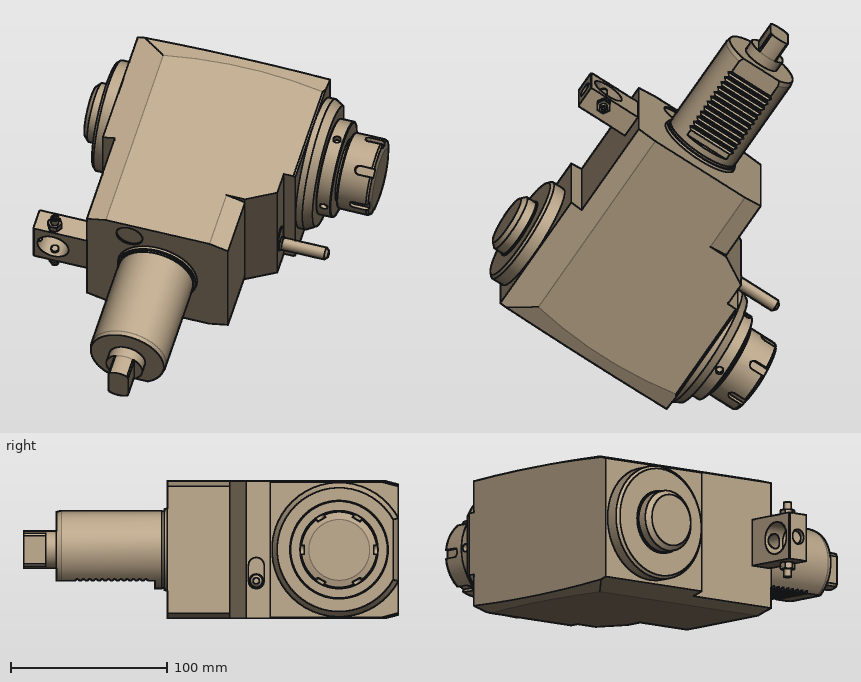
import cadquery as cq
import math

DRAFT = math.tan(math.radians(15))
STEEP_SLOPE = math.tan(math.radians(30))

HALF_HEIGHT = 44.0
BACK_Y = 148.0
SHOULDER_Y = 66.0
HEAD_LEFT_X = -55.0
HEAD_RIGHT_X = 73.1
FOOT_HALF_WIDTH = 47.0
FOOT_TOP_Y = 40.0
WAIST_X = 65.5
WAIST_Y = FOOT_TOP_Y + (WAIST_X - FOOT_HALF_WIDTH) * STEEP_SLOPE
BEVEL_START_X = 34.5
SWING_CENTER_X = 19.0
SWING_RADIUS = 290.0
SWING_APEX_Y = 140.0
SWING_REACH = 30.0
RIM_LENGTH = 1.3
RIM_DROP = RIM_LENGTH * STEEP_SLOPE
PLUG_X, PLUG_Z = -18.6, 32.3
PLUG_DIAMETER = 17.4
PLUG_DEPTH = 1.0

SPINDLE_Y = 110.0
COVER_RADIUS = 36.5
COVER_X = -65.0
COVER_CHAMFER = 1.8
CAP_BASE_RADIUS = 20.2
CAP_BASE_X = -66.0
CAP_RADIUS = 19.5
CAP_X = -75.3
CAP_CHAMFER = 3.0
COLLAR_RADIUS = 43.0
COLLAR_X = 83.3
COLLAR_TAPER_LENGTH = 5.8
COLLAR_TAPER_DROP = COLLAR_TAPER_LENGTH * STEEP_SLOPE
RING_RADIUS = 31.5
RING_X = 93.0
RING_CHAMFER = 0.5
SPANNER_HOLE_X = 88.5
SPANNER_HOLE_DIAMETER = 5.0
SPANNER_HOLE_DEPTH = 4.0
SPANNER_HOLE_COUNT = 4
DRILL_POINT_SLOPE = math.tan(math.radians(31))
NECK_RADIUS = 20.5
NUT_RADIUS = 25.0
NUT_START_X = 95.0
NUT_SHOULDER_X = 116.0
NUT_FACE_X = 117.1
NUT_FACE_RADIUS = 19.5
NUT_REAR_CHAMFER = 0.8
NUT_EDGE_LENGTH = 1.4
NUT_EDGE_DROP = 0.8
NUT_SLOT_COUNT = 6
NUT_SLOT_WIDTH = 5.8
NUT_SLOT_DEPTH = 2.7
NUT_SLOT_X = 104.0

FLANGE_RADIUS = 26.5
FLANGE_TIP_RADIUS = 26.0
FLANGE_LENGTH = 1.8
RELIEF_RADIUS = 24.7
RELIEF_END = 3.4
SHANK_RADIUS = 25.0
SHANK_LENGTH = 71.0
SHANK_CHAMFER_LENGTH = 3.0
SHANK_CHAMFER_DROP = 0.7
FLAT_Z = -20.0
FLAT_START = 8.0
TOOTH_PITCH = 4.0
TOOTH_COUNT = 12
TOOTH_FIRST = 13.7
TOOTH_WIDTH = 3.2
TOOTH_DEPTH = 1.3
DRIVE_RADIUS = 12.0
DRIVE_LENGTH = 7.0
TANG_END = 92.0
TANG_HALF_WIDTH = 6.6
TANG_BEVEL_HALF_WIDTH = 5.7
TANG_BEVEL_Z = 8.9

BRACKET_X = -83.0
BRACKET_FRONT_Y, BRACKET_BACK_Y = 1.0, 16.0
BRACKET_HALF_HEIGHT = 15.0
BRACKET_CHAMFER = 0.6
BORE_X = -69.8
BORE_DIAMETER = 20.8
FEED_DIAMETER = 9.5
CHANNEL_DIAMETER = 2.2
CHANNEL_DEPTH = 5.0
SCREW_X, SCREW_Y = -70.0, 6.2
SCREW_DIAMETER = 5.0
SCREW_END_Z = 24.2
SCREW_TIP_Z = 9.0
HEX_CORNER_RATIO = 1 / math.cos(math.radians(30))
HEX_NUT_FLATS = 8.0
HEX_NUT_HEIGHT = 4.2
HEX_NUT_CHAMFER = 0.4
SOCKET_FLATS = 2.5
SOCKET_DEPTH = 2.5

PIN_Y, PIN_Z = 57.0, -20.0
PIN_RADIUS = 4.0
PIN_END_X = 97.8
PIN_CHAMFER = 2.0
PIN_COLLAR_RADIUS = 4.4
PIN_COLLAR_END_X = WAIST_X + 2.0
PAD_WIDTH = 10.0
PAD_LENGTH = 20.0
PAD_THICKNESS = 0.6
PAD_Z = PIN_Z + (PAD_LENGTH - PAD_WIDTH) / 2


def box_between(x0, x1, y0, y1, z0, z1):
    """Box from its lower and upper corner coordinates."""
    return cq.Workplane("XY").box(x1 - x0, y1 - y0, z1 - z0, centered=False).translate((x0, y0, z0))


def spindle_turning(profile):
    """Revolve (x, radius) points about the spindle axis."""
    points = [(x, SPINDLE_Y + radius) for x, radius in profile]
    return cq.Workplane("XY").polyline(points).close().revolve(360, (0, SPINDLE_Y), (1, SPINDLE_Y))


def shank_turning(profile):
    """Revolve (radius, distance below the housing) points about the shank axis."""
    points = [(radius, -distance) for radius, distance in profile]
    return cq.Workplane("XY").polyline(points).close().revolve(360, (0, 0), (0, 1))


def both_sides(cutter):
    """A cutter together with its mirror image below the XY plane."""
    return [cutter, cutter.mirror("XY")]


def edge_bevel_cutter(start_x, end_x, drop, y0, y1):
    """Wedge removed from the top edge between start_x and end_x."""
    return (
        cq.Workplane("XZ", origin=(0, y1, 0))
        .polyline([(start_x, HALF_HEIGHT), (end_x, HALF_HEIGHT), (end_x, HALF_HEIGHT - drop)])
        .close()
        .extrude(y1 - y0)
    )


def rear_bevel_cutter():
    """Solid outside a wide upright cone, which bevels the rear top edge."""
    center_y = SWING_APEX_Y - SWING_RADIUS
    cone_profile = [
        (SWING_RADIUS, HALF_HEIGHT),
        (SWING_RADIUS + SWING_REACH, HALF_HEIGHT),
        (SWING_RADIUS + SWING_REACH, HALF_HEIGHT - SWING_REACH * DRAFT),
    ]
    return (
        cq.Workplane("XZ")
        .polyline(cone_profile)
        .close()
        .revolve(360, (0, 0), (0, 1))
        .translate((SWING_CENTER_X, center_y, 0))
    )


def make_housing():
    """Bevelled housing with a shallow plug recess in its shank face."""
    outline = [
        (-FOOT_HALF_WIDTH, 0),
        (FOOT_HALF_WIDTH, 0),
        (FOOT_HALF_WIDTH, FOOT_TOP_Y),
        (WAIST_X, WAIST_Y),
        (WAIST_X, SHOULDER_Y),
        (HEAD_RIGHT_X, SHOULDER_Y),
        (HEAD_RIGHT_X, BACK_Y),
        (HEAD_LEFT_X, BACK_Y),
        (HEAD_LEFT_X, SHOULDER_Y),
        (-FOOT_HALF_WIDTH, SHOULDER_Y),
    ]
    housing = (
        cq.Workplane("XY", origin=(0, 0, -HALF_HEIGHT)).polyline(outline).close().extrude(2 * HALF_HEIGHT)
    )
    left_drop = (-BEVEL_START_X - HEAD_LEFT_X) * DRAFT
    foot_drop = (FOOT_HALF_WIDTH - BEVEL_START_X) * DRAFT
    cutters = [
        edge_bevel_cutter(-BEVEL_START_X, HEAD_LEFT_X, left_drop, 0, BACK_Y),
        edge_bevel_cutter(BEVEL_START_X, FOOT_HALF_WIDTH, foot_drop, 0, FOOT_TOP_Y),
        edge_bevel_cutter(HEAD_RIGHT_X - RIM_LENGTH, HEAD_RIGHT_X, RIM_DROP, SHOULDER_Y, BACK_Y),
        rear_bevel_cutter(),
    ]
    for cutter in cutters:
        for side in both_sides(cutter):
            housing = housing.cut(side)
    plug_recess = (
        cq.Workplane("XZ", origin=(PLUG_X, PLUG_DEPTH, PLUG_Z)).circle(PLUG_DIAMETER / 2).extrude(PLUG_DEPTH)
    )
    return housing.cut(plug_recess)


def make_rear_cover():
    """Round cover with a stepped, chamfered cap on the left of the head."""
    return spindle_turning([
        (HEAD_LEFT_X, 0),
        (HEAD_LEFT_X, COVER_RADIUS),
        (COVER_X + COVER_CHAMFER, COVER_RADIUS),
        (COVER_X, COVER_RADIUS - COVER_CHAMFER),
        (COVER_X, CAP_BASE_RADIUS),
        (CAP_BASE_X, CAP_BASE_RADIUS),
        (CAP_BASE_X, CAP_RADIUS),
        (CAP_X + CAP_CHAMFER, CAP_RADIUS),
        (CAP_X, CAP_RADIUS - CAP_CHAMFER),
        (CAP_X, 0),
    ])


def make_collar():
    """Round collar flush with the back of the housing and tapered at its outer end."""
    length = COLLAR_X - HEAD_RIGHT_X
    disc = cq.Workplane("YZ", origin=(HEAD_RIGHT_X, SPINDLE_Y, 0)).circle(COLLAR_RADIUS).extrude(length)
    beyond_back = box_between(
        HEAD_RIGHT_X, COLLAR_X, BACK_Y, BACK_Y + COLLAR_RADIUS, -COLLAR_RADIUS, COLLAR_RADIUS
    )
    end_edges = disc.cut(beyond_back).faces(">X").edges()
    return end_edges.chamfer(COLLAR_TAPER_LENGTH, COLLAR_TAPER_DROP)


def make_ring():
    """Spanner ring with radial drilled holes."""
    ring = spindle_turning([
        (COLLAR_X, 0),
        (COLLAR_X, RING_RADIUS - RING_CHAMFER),
        (COLLAR_X + RING_CHAMFER, RING_RADIUS),
        (RING_X - RING_CHAMFER, RING_RADIUS),
        (RING_X, RING_RADIUS - RING_CHAMFER),
        (RING_X, 0),
    ])
    hole_radius = SPANNER_HOLE_DIAMETER / 2
    floor_z = RING_RADIUS - SPANNER_HOLE_DEPTH
    point_z = floor_z - hole_radius * DRILL_POINT_SLOPE
    drill = (
        cq.Workplane("XZ")
        .polyline([(0, point_z), (hole_radius, floor_z), (hole_radius, RING_RADIUS), (0, RING_RADIUS)])
        .close()
        .revolve(360, (0, 0), (0, 1))
        .translate((SPANNER_HOLE_X, SPINDLE_Y, 0))
    )
    for index in range(SPANNER_HOLE_COUNT):
        angle = index * 360 / SPANNER_HOLE_COUNT
        ring = ring.cut(drill.rotate((0, SPINDLE_Y, 0), (1, SPINDLE_Y, 0), angle))
    return ring


def make_collet_nut():
    """Slotted collet nut on its short neck."""
    nut = spindle_turning([
        (RING_X, 0),
        (RING_X, NECK_RADIUS),
        (NUT_START_X, NECK_RADIUS),
        (NUT_START_X, NUT_RADIUS - NUT_REAR_CHAMFER),
        (NUT_START_X + NUT_REAR_CHAMFER, NUT_RADIUS),
        (NUT_SHOULDER_X - NUT_EDGE_LENGTH, NUT_RADIUS),
        (NUT_SHOULDER_X, NUT_RADIUS - NUT_EDGE_DROP),
        (NUT_FACE_X, NUT_FACE_RADIUS),
        (NUT_FACE_X, 0),
    ])
    slot_center_x = NUT_SLOT_X + NUT_SLOT_WIDTH / 2
    slot_floor = NUT_RADIUS - NUT_SLOT_DEPTH
    round_end = (
        cq.Workplane("XZ", origin=(slot_center_x, 0, 0))
        .circle(NUT_SLOT_WIDTH / 2)
        .extrude(NUT_SLOT_DEPTH)
    )
    straight = box_between(
        slot_center_x, NUT_FACE_X, -NUT_SLOT_DEPTH, 0, -NUT_SLOT_WIDTH / 2, NUT_SLOT_WIDTH / 2
    )
    slot = round_end.union(straight).translate((0, SPINDLE_Y - slot_floor, 0))
    for index in range(NUT_SLOT_COUNT):
        angle = index * 360 / NUT_SLOT_COUNT
        nut = nut.cut(slot.rotate((0, SPINDLE_Y, 0), (1, SPINDLE_Y, 0), angle))
    return nut


def make_shank():
    """Cylindrical shank with flange, serrated flat and drive end."""
    shank = shank_turning([
        (0, 0),
        (FLANGE_RADIUS, 0),
        (FLANGE_TIP_RADIUS, FLANGE_LENGTH),
        (RELIEF_RADIUS, FLANGE_LENGTH),
        (RELIEF_RADIUS, RELIEF_END),
        (SHANK_RADIUS, RELIEF_END),
        (SHANK_RADIUS, SHANK_LENGTH - SHANK_CHAMFER_LENGTH),
        (SHANK_RADIUS - SHANK_CHAMFER_DROP, SHANK_LENGTH),
        (0, SHANK_LENGTH),
    ])
    shank = shank.cut(
        box_between(-SHANK_RADIUS, SHANK_RADIUS, -SHANK_LENGTH, -FLAT_START, -SHANK_RADIUS, FLAT_Z)
    )
    for index in range(TOOTH_COUNT):
        groove_y = -(TOOTH_FIRST + index * TOOTH_PITCH)
        groove = (
            cq.Workplane("YZ", origin=(-SHANK_RADIUS, 0, 0))
            .polyline([
                (groove_y - TOOTH_WIDTH / 2, FLAT_Z),
                (groove_y, FLAT_Z + TOOTH_DEPTH),
                (groove_y + TOOTH_WIDTH / 2, FLAT_Z),
            ])
            .close()
            .extrude(2 * SHANK_RADIUS)
        )
        shank = shank.cut(groove)
    return shank.union(make_drive())


def make_drive():
    """Round drive stub ending in a flat tang with bevelled long edges."""
    stub_end = SHANK_LENGTH + DRIVE_LENGTH
    stub = shank_turning([
        (0, SHANK_LENGTH),
        (DRIVE_RADIUS, SHANK_LENGTH),
        (DRIVE_RADIUS, stub_end),
        (0, stub_end),
    ])
    bevel_top = math.sqrt(DRIVE_RADIUS**2 - TANG_BEVEL_HALF_WIDTH**2)
    tang = (
        cq.Workplane("XZ", origin=(0, -stub_end, 0))
        .moveTo(TANG_HALF_WIDTH, -TANG_BEVEL_Z)
        .lineTo(TANG_HALF_WIDTH, TANG_BEVEL_Z)
        .lineTo(TANG_BEVEL_HALF_WIDTH, bevel_top)
        .threePointArc((0, DRIVE_RADIUS), (-TANG_BEVEL_HALF_WIDTH, bevel_top))
        .lineTo(-TANG_HALF_WIDTH, TANG_BEVEL_Z)
        .lineTo(-TANG_HALF_WIDTH, -TANG_BEVEL_Z)
        .lineTo(-TANG_BEVEL_HALF_WIDTH, -bevel_top)
        .threePointArc((0, -DRIVE_RADIUS), (TANG_BEVEL_HALF_WIDTH, -bevel_top))
        .close()
        .extrude(TANG_END - stub_end)
    )
    return stub.union(tang)


def make_bracket():
    """Coolant block with a cross bore and feed hole."""
    block = box_between(
        BRACKET_X, -FOOT_HALF_WIDTH,
        BRACKET_FRONT_Y, BRACKET_BACK_Y,
        -BRACKET_HALF_HEIGHT, BRACKET_HALF_HEIGHT,
    ).edges("|Z and <X").chamfer(BRACKET_CHAMFER)
    bore = (
        cq.Workplane("XZ", origin=(BORE_X, BRACKET_BACK_Y, 0))
        .circle(BORE_DIAMETER / 2)
        .extrude(BRACKET_BACK_Y - BRACKET_FRONT_Y)
    )
    return block.cut(bore)


def feed_cutter():
    """Feed hole through the bracket and the narrow channel into the housing."""
    feed_y = (BRACKET_FRONT_Y + BRACKET_BACK_Y) / 2
    feed = cq.Workplane("YZ", origin=(BRACKET_X, feed_y, 0))
    wide = feed.circle(FEED_DIAMETER / 2).extrude(-FOOT_HALF_WIDTH - BRACKET_X)
    narrow = feed.circle(CHANNEL_DIAMETER / 2).extrude(CHANNEL_DEPTH - FOOT_HALF_WIDTH - BRACKET_X)
    return wide.union(narrow)


def make_screw():
    """Upper socket clamping screw with its double-chamfered hexagon nut."""
    nut_plane = cq.Workplane("XY", origin=(SCREW_X, SCREW_Y, BRACKET_HALF_HEIGHT))
    nut_corner_diameter = HEX_NUT_FLATS * HEX_CORNER_RATIO
    nut = nut_plane.polygon(6, nut_corner_diameter).extrude(HEX_NUT_HEIGHT)
    rounding = nut_plane.circle(nut_corner_diameter / 2).extrude(HEX_NUT_HEIGHT)
    nut = nut.intersect(rounding.faces("<Z or >Z").edges().chamfer(HEX_NUT_CHAMFER))
    stud = (
        cq.Workplane("XY", origin=(SCREW_X, SCREW_Y, SCREW_TIP_Z))
        .circle(SCREW_DIAMETER / 2)
        .extrude(SCREW_END_Z - SCREW_TIP_Z)
    )
    socket = (
        cq.Workplane("XY", origin=(SCREW_X, SCREW_Y, SCREW_END_Z - SOCKET_DEPTH))
        .polygon(6, SOCKET_FLATS * HEX_CORNER_RATIO)
        .extrude(SOCKET_DEPTH)
    )
    return nut.union(stud).cut(socket)


def make_pin():
    """Locating pin with a small collar, standing on a rounded pad beside the waist."""
    pin_plane = cq.Workplane("YZ", origin=(WAIST_X, PIN_Y, PIN_Z))
    pin = pin_plane.circle(PIN_RADIUS).extrude(PIN_END_X - WAIST_X).faces(">X").edges().chamfer(PIN_CHAMFER)
    collar = pin_plane.circle(PIN_COLLAR_RADIUS).extrude(PIN_COLLAR_END_X - WAIST_X)
    pad = (
        cq.Workplane("YZ", origin=(WAIST_X, PIN_Y, PAD_Z))
        .slot2D(PAD_LENGTH, PAD_WIDTH, 90)
        .extrude(PAD_THICKNESS)
    )
    return pin.union(collar).union(pad)


result = make_housing()
for component in (
    make_rear_cover(),
    make_collar(),
    make_ring(),
    make_collet_nut(),
    make_shank(),
    make_bracket(),
    make_pin(),
):
    result = result.union(component)
result = result.cut(feed_cutter())
for screw in both_sides(make_screw()):
    result = result.union(screw)